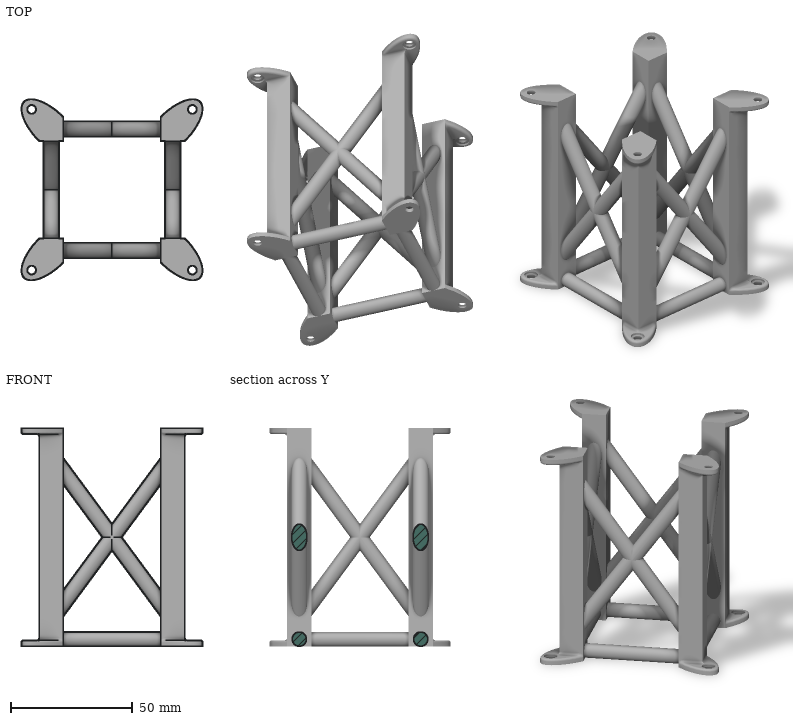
import cadquery as cq
import math

height = 90.0
post_side = 10.0
post_centre = 25.0

flange_thickness = 2.5
flange_reach = 15.9
rim_radius = 0.9
root_radius = 1.0

hole_diameter = 3.5
counterbore_diameter = 5.7
counterbore_depth = 0.8
hole_centre = 33.1

diagonal_diameter = 6.5
diagonal_rise = 67.9
bar_diameter = 6.0

mid_height = height / 2
post_spacing = 2 * post_centre
post_half_diagonal = post_side / math.sqrt(2)
hole_offset = (hole_centre - post_centre) * math.sqrt(2)
diagonal_length = math.hypot(post_spacing, diagonal_rise)
edge_tolerance = 0.1


def ellipse_prism(prism_height):
    """Full flange ellipse around the post axis, long axis along X."""
    return cq.Workplane("XY").ellipse(flange_reach, post_half_diagonal).extrude(prism_height)


def half_post_outline():
    """Half-height prism of the square post joined with the outer half ellipse."""
    square = (
        cq.Workplane("XY")
        .rect(post_side, post_side)
        .extrude(mid_height)
        .rotate((0, 0, 0), (0, 0, 1), 45)
    )
    outer_side = cq.Workplane("XY").box(
        flange_reach, 2 * flange_reach, mid_height, centered=(False, True, False)
    )
    return square.union(ellipse_prism(mid_height).intersect(outer_side))


def half_post():
    """Lower half of a post on the Z axis, with its flange pointing along +X."""
    plate = ellipse_prism(flange_thickness).faces(">Z").edges().fillet(rim_radius)

    wall_run = 3 * post_half_diagonal
    walls = (
        cq.Workplane("XY")
        .moveTo(post_half_diagonal, 0)
        .lineTo(post_half_diagonal - wall_run, wall_run)
        .lineTo(post_half_diagonal - wall_run, -wall_run)
        .close()
        .extrude(mid_height)
    )
    joined = walls.union(plate)

    def on_wall(edge):
        centre = edge.Center()
        wall_distance = centre.x + abs(centre.y) - post_half_diagonal
        return abs(wall_distance) < edge_tolerance

    def in_flange(edge):
        return 0 < edge.Center().z <= flange_thickness + edge_tolerance

    root_edges = joined.edges().filter(on_wall).filter(in_flange)
    filleted = root_edges.fillet(root_radius)
    trimmed = filleted.intersect(half_post_outline())

    hole = (
        cq.Workplane("XY", origin=(hole_offset, 0, 0))
        .circle(hole_diameter / 2)
        .extrude(flange_thickness)
    )
    counterbore = (
        cq.Workplane("XY", origin=(hole_offset, 0, flange_thickness - counterbore_depth))
        .circle(counterbore_diameter / 2)
        .extrude(counterbore_depth)
    )
    return trimmed.cut(hole).cut(counterbore)


def corner_post():
    """Full post with both flanges, standing in the +X +Y corner."""
    lower = half_post()
    upper = lower.mirror("XY", (0, 0, mid_height))
    post = lower.union(upper)
    return post.rotate((0, 0, 0), (0, 0, 1), 45).translate((post_centre, post_centre, 0))


def brace(start_z, length, diameter, rise):
    """Round brace on the -Y side, running from the -X post axis to the +X post axis."""
    start = (-post_centre, -post_centre, start_z)
    axis = cq.Plane(origin=start, xDir=(0, 1, 0), normal=(post_spacing, 0, rise))
    return cq.Workplane(axis).circle(diameter / 2).extrude(length)


def side_braces():
    """Two crossing diagonals and one bottom bar on the -Y side."""
    half_rise = diagonal_rise / 2
    rising = brace(mid_height - half_rise, diagonal_length, diagonal_diameter, diagonal_rise)
    falling = brace(mid_height + half_rise, diagonal_length, diagonal_diameter, -diagonal_rise)
    bar = brace(bar_diameter / 2, post_spacing, bar_diameter, 0)
    return rising.union(falling).union(bar)


post = corner_post()
braces = side_braces()

result = cq.Workplane("XY")
for quarter_turn in range(4):
    angle = 90 * quarter_turn
    result = result.add(post.rotate((0, 0, 0), (0, 0, 1), angle))
    result = result.add(braces.rotate((0, 0, 0), (0, 0, 1), angle))
result = result.combine().solids()